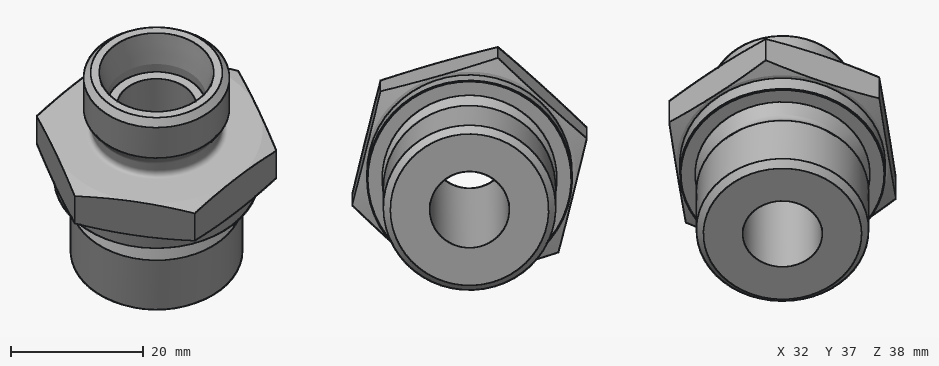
import cadquery as cq
import math

total_height = 38.0
flange_bottom = 16.0
hex_bottom = 19.0
hex_top = 26.0

hex_across_flats = 32.0
hex_chamfer_angle = math.radians(15)

flange_diameter = 30.97
lower_thread_diameter = 26.0
upper_thread_diameter = 22.0
upper_neck_diameter = 19.7

end_chamfer = 1.05
flange_chamfer = 0.15
relief_angle = math.radians(30)
neck_fillet = 1.0
neck_straight_top = 28.35
lower_thread_top = 11.3
groove_mouth_radius = 13.2
groove_radius = 11.97
groove_arc_bottom = 13.05
groove_arc_top = 14.3
groove_arc_depth = 0.15

bore_diameter = 12.0
tube_socket_diameter = 15.0
socket_mouth_diameter = 17.3
socket_depth = 7.0
socket_cone_angle = math.radians(12)


def turned_body():
    """Revolve both threaded ends, their reliefs and the flange."""
    lower_radius = lower_thread_diameter / 2
    flange_radius = flange_diameter / 2
    upper_radius = upper_thread_diameter / 2
    neck_radius = upper_neck_diameter / 2

    foot_top = hex_top + neck_fillet
    foot_center_radius = neck_radius + neck_fillet
    foot_middle = neck_fillet * math.sqrt(0.5)

    blend_top = neck_straight_top + neck_fillet * math.sin(relief_angle)
    blend_end_radius = foot_center_radius - neck_fillet * math.cos(relief_angle)
    blend_middle_height = neck_straight_top + neck_fillet * math.sin(relief_angle / 2)
    blend_middle_radius = foot_center_radius - neck_fillet * math.cos(relief_angle / 2)
    upper_thread_bottom = blend_top + (upper_radius - blend_end_radius) / math.tan(relief_angle)

    groove_middle = (groove_arc_bottom + groove_arc_top) / 2
    profile = (
        cq.Workplane("XZ")
        .lineTo(lower_radius - end_chamfer, 0)
        .lineTo(lower_radius, end_chamfer)
        .lineTo(lower_radius, lower_thread_top)
        .lineTo(groove_radius, groove_arc_bottom)
        .threePointArc((groove_radius - groove_arc_depth, groove_middle), (groove_radius, groove_arc_top))
        .lineTo(groove_mouth_radius, flange_bottom)
        .lineTo(flange_radius - flange_chamfer, flange_bottom)
        .lineTo(flange_radius, flange_bottom + flange_chamfer)
        .lineTo(flange_radius, hex_top)
        .lineTo(foot_center_radius, hex_top)
        .threePointArc(
            (foot_center_radius - foot_middle, foot_top - foot_middle),
            (neck_radius, foot_top),
        )
        .lineTo(neck_radius, neck_straight_top)
        .threePointArc((blend_middle_radius, blend_middle_height), (blend_end_radius, blend_top))
        .lineTo(upper_radius, upper_thread_bottom)
        .lineTo(upper_radius, total_height - end_chamfer)
        .lineTo(upper_radius - end_chamfer, total_height)
        .lineTo(0, total_height)
        .close()
    )
    return profile.revolve(360, (0, 0), (0, 1))


def chamfered_hexagon():
    """Hexagon with flats facing +X and -X, its corners turned off by cones."""
    flat_radius = hex_across_flats / 2
    corner_radius = flat_radius / math.cos(math.radians(30))
    corner_drop = (corner_radius - flat_radius) * math.tan(hex_chamfer_angle)

    prism = (
        cq.Workplane("XY")
        .workplane(offset=hex_bottom)
        .polygon(6, 2 * corner_radius)
        .extrude(hex_top - hex_bottom)
        .rotate((0, 0, 0), (0, 0, 1), 30)
    )
    turned_envelope = (
        cq.Workplane("XZ")
        .moveTo(0, hex_bottom)
        .lineTo(flat_radius, hex_bottom)
        .lineTo(corner_radius, hex_bottom + corner_drop)
        .lineTo(corner_radius, hex_top - corner_drop)
        .lineTo(flat_radius, hex_top)
        .lineTo(0, hex_top)
        .close()
        .revolve(360, (0, 0), (0, 1))
    )
    return prism.intersect(turned_envelope)


def stepped_bore():
    """Through bore with a tube socket and a conical mouth at the top."""
    bore_radius = bore_diameter / 2
    socket_radius = tube_socket_diameter / 2
    mouth_radius = socket_mouth_diameter / 2
    socket_floor = total_height - socket_depth
    cone_bottom = total_height - (mouth_radius - socket_radius) / math.tan(socket_cone_angle)
    return (
        cq.Workplane("XZ")
        .lineTo(bore_radius, 0)
        .lineTo(bore_radius, socket_floor)
        .lineTo(socket_radius, socket_floor)
        .lineTo(socket_radius, cone_bottom)
        .lineTo(mouth_radius, total_height)
        .lineTo(0, total_height)
        .close()
        .revolve(360, (0, 0), (0, 1))
    )


result = turned_body().union(chamfered_hexagon()).cut(stepped_bore())